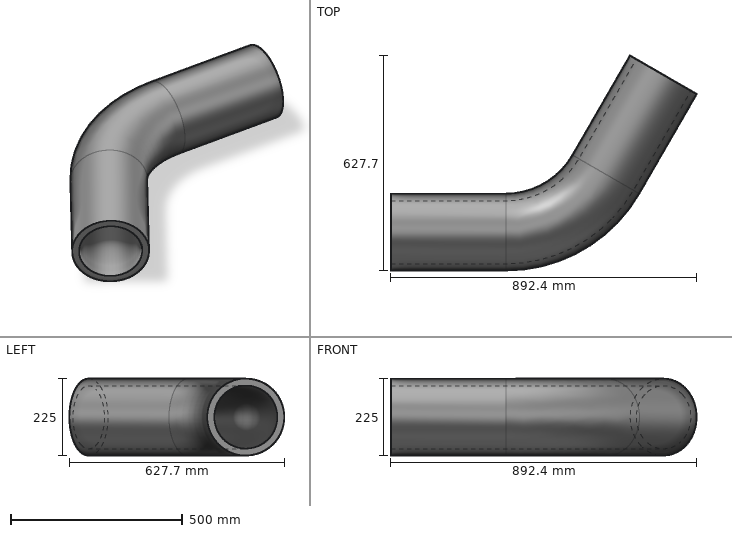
import cadquery as cq
import math

outer_diameter = 225.0
inner_diameter = 184.0
bend_angle = 60.0
bend_radius = 1.5 * outer_diameter
end_to_corner = 530.0

half_angle = math.radians(bend_angle / 2)
leg_length = end_to_corner - bend_radius * math.tan(half_angle)


def bent_rod(diameter):
    """Solid rod along the elbow axis: leg along +X, bend towards +Y, second leg."""
    first_leg = cq.Workplane("YZ").circle(diameter / 2).extrude(leg_length)

    bend = (
        cq.Workplane("YZ", origin=(leg_length, 0, 0))
        .circle(diameter / 2)
        .revolve(bend_angle, (bend_radius, 0, 0), (bend_radius, 1, 0))
    )

    turn = math.radians(bend_angle)
    bend_end = cq.Vector(
        leg_length + bend_radius * math.sin(turn),
        bend_radius * (1 - math.cos(turn)),
        0,
    )
    leg_direction = cq.Vector(math.cos(turn), math.sin(turn), 0)
    end_plane = cq.Plane(origin=bend_end, xDir=(0, 0, 1), normal=leg_direction)
    second_leg = cq.Workplane(end_plane).circle(diameter / 2).extrude(leg_length)

    return first_leg.union(bend).union(second_leg)


result = bent_rod(outer_diameter).cut(bent_rod(inner_diameter))